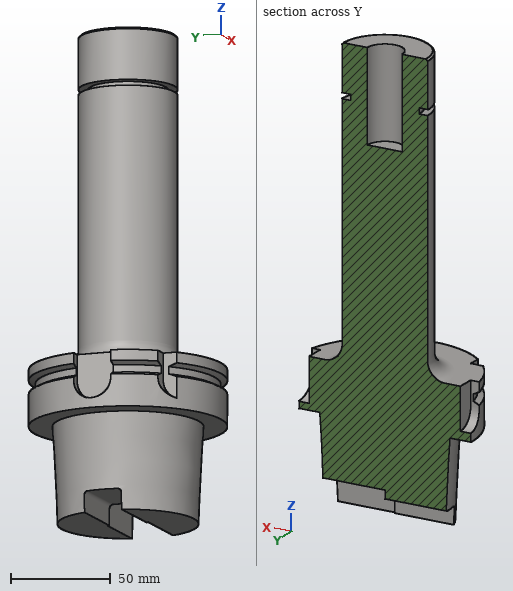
import cadquery as cq

SHANK_LENGTH = 50.0
SHANK_TOP_RADIUS = 38.0
SHANK_END_RADIUS = 35.5

FLANGE_RADIUS = 50.0
FLANGE_HEIGHT = 29.0
GROOVE_CENTRE_Z = 20.0
GROOVE_MOUTH_WIDTH = 7.0
GROOVE_FLOOR_WIDTH = 3.75
GROOVE_FLOOR_RADIUS = 46.6

NOSE_TOP_Z = 200.0
NOSE_RADIUS = 25.0
NOSE_CHAMFER = 1.0
ROOT_FILLET = 10.0
NECK_FLOOR_RADIUS = 20.0
NECK_WIDTH = 3.0
NECK_TOP_DEPTH = 27.0
BORE_DIAMETER = 20.0
BORE_DEPTH = 52.0

RIM_SLOT_FLOOR = 44.0
RIM_SLOT_ARC_Z = 15.0
LEFT_SLOT_WIDTH = 20.0
RIGHT_SLOT_WIDTH = 22.0
CORNER_NOTCH_OFFSET = 31.5

LEFT_DRIVE_HEIGHT = 10.7
RIGHT_DRIVE_HEIGHT = 15.4
DRIVE_CORNER_RADIUS = 2.0


def turned_body():
    """Revolved profile of shank, flange and nose."""
    mouth_half = GROOVE_MOUTH_WIDTH / 2
    floor_half = GROOVE_FLOOR_WIDTH / 2
    neck_top = NOSE_TOP_Z - NECK_TOP_DEPTH
    neck_bottom = neck_top - NECK_WIDTH
    profile = (
        cq.Workplane("YZ")
        .moveTo(0, -SHANK_LENGTH)
        .lineTo(SHANK_END_RADIUS, -SHANK_LENGTH)
        .lineTo(SHANK_TOP_RADIUS, 0)
        .lineTo(FLANGE_RADIUS, 0)
        .lineTo(FLANGE_RADIUS, GROOVE_CENTRE_Z - mouth_half)
        .lineTo(GROOVE_FLOOR_RADIUS, GROOVE_CENTRE_Z - floor_half)
        .lineTo(GROOVE_FLOOR_RADIUS, GROOVE_CENTRE_Z + floor_half)
        .lineTo(FLANGE_RADIUS, GROOVE_CENTRE_Z + mouth_half)
        .lineTo(FLANGE_RADIUS, FLANGE_HEIGHT)
        .lineTo(NOSE_RADIUS + ROOT_FILLET, FLANGE_HEIGHT)
        .radiusArc((NOSE_RADIUS, FLANGE_HEIGHT + ROOT_FILLET), ROOT_FILLET)
        .lineTo(NOSE_RADIUS, neck_bottom)
        .lineTo(NECK_FLOOR_RADIUS, neck_bottom)
        .lineTo(NECK_FLOOR_RADIUS, neck_top)
        .lineTo(NOSE_RADIUS, neck_top)
        .lineTo(NOSE_RADIUS, NOSE_TOP_Z - NOSE_CHAMFER)
        .lineTo(NOSE_RADIUS - NOSE_CHAMFER, NOSE_TOP_Z)
        .lineTo(0, NOSE_TOP_Z)
        .close()
    )
    return profile.revolve(360, (0, 0, 0), (0, 1, 0))


def clamping_bore():
    """Blind bore in the nose end face."""
    return (
        cq.Workplane("XY")
        .workplane(offset=NOSE_TOP_Z - BORE_DEPTH)
        .circle(BORE_DIAMETER / 2)
        .extrude(BORE_DEPTH)
    )


def rim_slot(side, floor, width, centre_y=0.0):
    """Round-bottomed slot entering the rim along X; side is -1 or +1."""
    radius = width / 2
    return (
        cq.Workplane("YZ", origin=(side * floor, centre_y, 0))
        .moveTo(-radius, FLANGE_HEIGHT)
        .lineTo(-radius, RIM_SLOT_ARC_Z)
        .threePointArc((0, RIM_SLOT_ARC_Z - radius), (radius, RIM_SLOT_ARC_Z))
        .lineTo(radius, FLANGE_HEIGHT)
        .close()
        .extrude(side * FLANGE_RADIUS)
    )


def drive_slot(side, width, height):
    """Slot in the shank end from the axis out to one side, with rounded upper corners."""
    return (
        cq.Workplane("XY", origin=(side * FLANGE_RADIUS / 2, 0, -SHANK_LENGTH))
        .box(FLANGE_RADIUS, width, height, centered=(True, True, False))
        .edges("|X and >Z")
        .fillet(DRIVE_CORNER_RADIUS)
    )


corner_notch_y = -CORNER_NOTCH_OFFSET - LEFT_SLOT_WIDTH / 2

result = (
    turned_body()
    .cut(clamping_bore())
    .cut(rim_slot(-1, RIM_SLOT_FLOOR, LEFT_SLOT_WIDTH))
    .cut(rim_slot(1, RIM_SLOT_FLOOR, RIGHT_SLOT_WIDTH))
    .cut(rim_slot(-1, CORNER_NOTCH_OFFSET, LEFT_SLOT_WIDTH, corner_notch_y))
    .cut(drive_slot(-1, LEFT_SLOT_WIDTH, LEFT_DRIVE_HEIGHT))
    .cut(drive_slot(1, RIGHT_SLOT_WIDTH, RIGHT_DRIVE_HEIGHT))
)